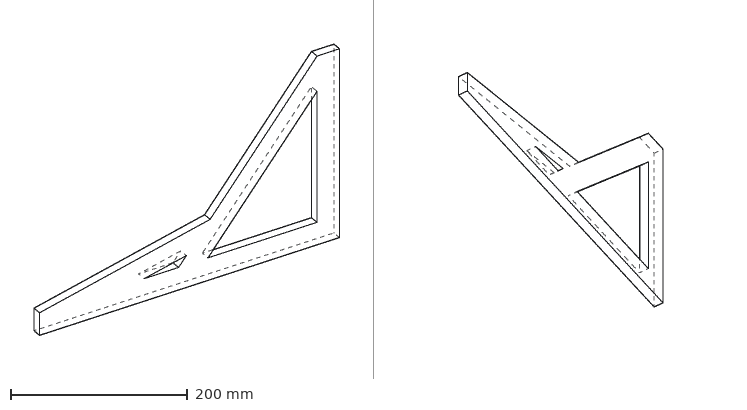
import cadquery as cq
import math

thickness = 12.0
length = 400.0
height = 250.0
bar_width = 30.0
brace_angle = 50.0
knee_height = 80.0

brace_slope = math.tan(math.radians(brace_angle))
leg_inner_y = length - bar_width
knee_y = leg_inner_y - (height - knee_height) / brace_slope
rib_slope = (knee_height - bar_width) / knee_y

brace_drop = bar_width * math.hypot(1.0, brace_slope)
rib_drop = bar_width * math.hypot(1.0, rib_slope)


def plate(points):
    """Extrude a (Y, Z) outline through the bracket thickness, centred on X = 0."""
    return cq.Workplane("YZ").polyline(points).close().extrude(thickness / 2, both=True)


def bracket_body():
    """Solid bracket outline, before the openings are cut."""
    return plate([
        (0.0, 0.0),
        (length, 0.0),
        (length, height),
        (leg_inner_y, height),
        (knee_y, knee_height),
        (0.0, bar_width),
    ])


def wall_opening():
    """Large triangle between the wall leg, the base leg and the brace."""
    apex_height = height - brace_drop
    foot_y = leg_inner_y - (apex_height - bar_width) / brace_slope
    return plate([
        (leg_inner_y, bar_width),
        (leg_inner_y, apex_height),
        (foot_y, bar_width),
    ])


def tip_opening():
    """Small triangle between the extended brace edge, the rib and the base leg."""
    brace_foot_y = leg_inner_y - (height - bar_width) / brace_slope
    rib_foot_y = rib_drop / rib_slope
    apex_y = (brace_slope * brace_foot_y - rib_slope * rib_foot_y) / (brace_slope - rib_slope)
    apex_height = bar_width + rib_slope * (apex_y - rib_foot_y)
    return plate([
        (rib_foot_y, bar_width),
        (brace_foot_y, bar_width),
        (apex_y, apex_height),
    ])


result = bracket_body().cut(wall_opening()).cut(tip_opening())